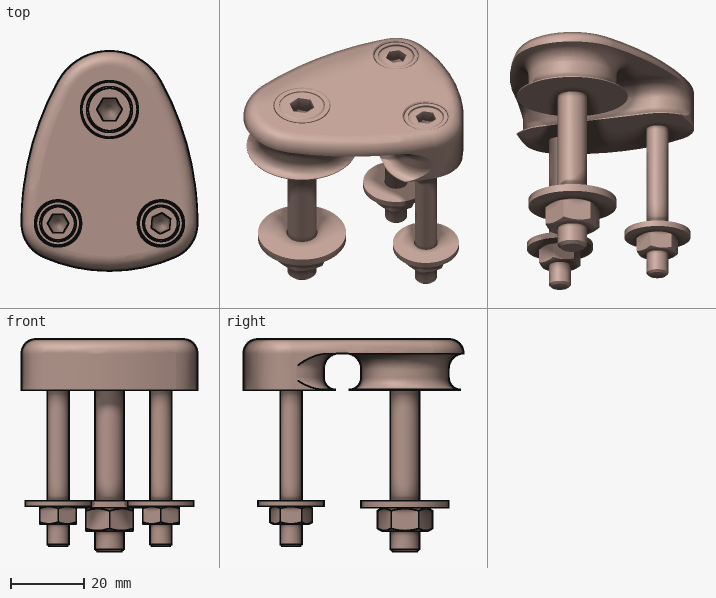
import cadquery as cq
import math

BODY_HEIGHT = 14.0
CAP_HEIGHT = 4.0
NOSE_RADIUS = 16.0
CORNER_RADIUS = 10.0
SMALL_BOLT_X = 14.0
SMALL_BOLT_Y = -31.0
HALF_WIDTH = SMALL_BOLT_X + CORNER_RADIUS
HEEL_DEPTH = 13.0
CUT_MARGIN = 10.0

UPPER_FLARE_RADIUS = 4.0
LOWER_FLARE_RADIUS = 3.1
RIM_HEIGHT = 0.25
POST_RADIUS = 12.0
BLOCK_CORNER_RADIUS = 9.0
BLOCK_CORNER_X = 15.1
RIM_Z = RIM_HEIGHT - BODY_HEIGHT
UPPER_BAND_Z = -CAP_HEIGHT - UPPER_FLARE_RADIUS
LOWER_BAND_Z = RIM_Z + LOWER_FLARE_RADIUS

WASHER_TOP_Z = -44.0
BUSH_GAP_DEPTH = 0.6
CONE_SLOPE = math.tan(math.radians(30))
LARGE_BOLT = dict(
    shank=8.0, tip_z=-58.0, tip_chamfer=0.8,
    washer=24.0, washer_hole=8.4, washer_thickness=2.0,
    nut_flats=13.0, nut_face=12.2, nut_height=6.4,
    hole=15.2, hole_chamfer=0.25, bush=15.0, bush_top_z=0.0,
    head=12.5, head_face=11.5, head_top_z=0.0,
    socket_flats=6.0, socket_depth=4.0,
)
SMALL_BOLT = dict(
    shank=6.0, tip_z=-56.5, tip_chamfer=0.6,
    washer=18.0, washer_hole=6.4, washer_thickness=1.6,
    nut_flats=10.0, nut_face=9.75, nut_height=4.8,
    hole=12.2, hole_chamfer=0.3, bush=11.8, bush_top_z=-0.4,
    head=9.9, head_face=9.0, head_top_z=-0.65,
    socket_flats=5.0, socket_depth=3.0,
)
BOLTS = [
    (LARGE_BOLT, (0, 0), 0),
    (SMALL_BOLT, (-SMALL_BOLT_X, SMALL_BOLT_Y), 0),
    (SMALL_BOLT, (SMALL_BOLT_X, SMALL_BOLT_Y), 85),
]


def polar(center, radius, angle):
    return (center[0] + radius * math.cos(angle), center[1] + radius * math.sin(angle))


def mirrored(point):
    return (-point[0], point[1])


def outline():
    """Egg-shaped outline: nose, two long flanks, two corners and a shallow heel, all tangent."""
    corner = (SMALL_BOLT_X, SMALL_BOLT_Y)
    flank_radius = (HALF_WIDTH**2 + SMALL_BOLT_Y**2 - NOSE_RADIUS**2) / (2 * (HALF_WIDTH - NOSE_RADIUS))
    flank_center = (HALF_WIDTH - flank_radius, SMALL_BOLT_Y)
    flank_angle = math.atan2(-flank_center[1], -flank_center[0])
    heel_radius = (SMALL_BOLT_X**2 + HEEL_DEPTH**2 - CORNER_RADIUS**2) / (2 * (HEEL_DEPTH - CORNER_RADIUS))
    heel_center = (0, SMALL_BOLT_Y - HEEL_DEPTH + heel_radius)
    heel_angle = math.atan2(corner[1] - heel_center[1], corner[0])

    nose_end = polar((0, 0), NOSE_RADIUS, flank_angle)
    flank_middle = polar(flank_center, flank_radius, flank_angle / 2)
    flank_end = (HALF_WIDTH, SMALL_BOLT_Y)
    corner_middle = polar(corner, CORNER_RADIUS, heel_angle / 2)
    corner_end = polar(corner, CORNER_RADIUS, heel_angle)
    return (
        cq.Workplane("XY")
        .moveTo(*mirrored(nose_end))
        .threePointArc((0, NOSE_RADIUS), nose_end)
        .threePointArc(flank_middle, flank_end)
        .threePointArc(corner_middle, corner_end)
        .threePointArc((0, SMALL_BOLT_Y - HEEL_DEPTH), mirrored(corner_end))
        .threePointArc(mirrored(corner_middle), mirrored(flank_end))
        .threePointArc(mirrored(flank_middle), mirrored(nose_end))
        .close()
    )


def groove_wall(plane, wall):
    """Half section of a groove wall: flared to the cap above and to a thin rim below."""
    diagonal = 1 - math.sqrt(0.5)
    return (
        cq.Workplane(plane)
        .moveTo(0, -CAP_HEIGHT)
        .lineTo(wall + UPPER_FLARE_RADIUS, -CAP_HEIGHT)
        .threePointArc(
            (wall + UPPER_FLARE_RADIUS * diagonal, -CAP_HEIGHT - UPPER_FLARE_RADIUS * diagonal),
            (wall, UPPER_BAND_Z),
        )
        .lineTo(wall, LOWER_BAND_Z)
        .threePointArc(
            (wall + LOWER_FLARE_RADIUS * diagonal, RIM_Z + LOWER_FLARE_RADIUS * diagonal),
            (wall + LOWER_FLARE_RADIUS, RIM_Z),
        )
        .lineTo(wall + LOWER_FLARE_RADIUS, -BODY_HEIGHT)
        .lineTo(0, -BODY_HEIGHT)
        .close()
    )


def round_post(wall, x, y):
    return groove_wall("XZ", wall).revolve(360, (0, 0), (0, 1)).translate((x, y, 0))


def heel_block():
    """Block behind the groove, with round front corners and the same flared wall."""
    block = (
        groove_wall("YZ", BLOCK_CORNER_RADIUS)
        .extrude(BLOCK_CORNER_X, both=True)
        .translate((0, SMALL_BOLT_Y, 0))
    )
    for side in (-1, 1):
        block = block.union(round_post(BLOCK_CORNER_RADIUS, side * BLOCK_CORNER_X, SMALL_BOLT_Y))
    rear_width = 2 * (HALF_WIDTH + CUT_MARGIN)
    rear_length = HEEL_DEPTH + CUT_MARGIN
    rear = (
        cq.Workplane("XY")
        .box(rear_width, rear_length, BODY_HEIGHT - CAP_HEIGHT, centered=(True, False, False))
        .translate((0, SMALL_BOLT_Y - rear_length, -BODY_HEIGHT))
    )
    return block.union(rear)


def clamp_body():
    body = outline().extrude(-BODY_HEIGHT).faces(">Z").edges().fillet(CAP_HEIGHT)
    span = 2 * (HEEL_DEPTH - SMALL_BOLT_Y + CUT_MARGIN)
    groove = (
        cq.Workplane("XY")
        .workplane(offset=-BODY_HEIGHT)
        .rect(span, span)
        .extrude(BODY_HEIGHT - CAP_HEIGHT)
        .cut(round_post(POST_RADIUS, 0, 0))
        .cut(heel_block())
    )
    return body.cut(groove)


def cylinder(diameter, z_top, z_bottom):
    return cq.Workplane("XY").workplane(offset=z_top).circle(diameter / 2).extrude(z_bottom - z_top)


def hexagon(flats, z_top, z_bottom):
    """Hexagonal prism with two corners on the X axis."""
    corners = flats / math.cos(math.radians(30))
    return cq.Workplane("XY").workplane(offset=z_top).polygon(6, corners).extrude(z_bottom - z_top)


def nut(bolt, z_top):
    """Hexagon nut with corners on the Y axis and both faces coned off."""
    z_bottom = z_top - bolt["nut_height"]
    face_radius = bolt["nut_face"] / 2
    outer_radius = bolt["nut_flats"]
    cone_height = (outer_radius - face_radius) * CONE_SLOPE
    envelope = (
        cq.Workplane("XZ")
        .polyline([
            (0, z_top),
            (face_radius, z_top),
            (outer_radius, z_top - cone_height),
            (outer_radius, z_bottom + cone_height),
            (face_radius, z_bottom),
            (0, z_bottom),
        ])
        .close()
        .revolve(360, (0, 0), (0, 1))
    )
    prism = hexagon(bolt["nut_flats"], z_top, z_bottom).rotate((0, 0, 0), (0, 0, 1), 90)
    return prism.intersect(envelope)


def bolt_stack(bolt):
    """Shank with washer and nut at its lower end."""
    nut_top_z = WASHER_TOP_Z - bolt["washer_thickness"]
    shank = cylinder(bolt["shank"], -BODY_HEIGHT, bolt["tip_z"]).faces("<Z").chamfer(bolt["tip_chamfer"])
    washer = cylinder(bolt["washer"], WASHER_TOP_Z, nut_top_z)
    washer = washer.cut(cylinder(bolt["washer_hole"], WASHER_TOP_Z, nut_top_z))
    return shank.union(nut(bolt, nut_top_z)).union(washer)


def bolt_hole(bolt):
    """Mouth of the hole for the bush, chamfered at the top face."""
    top_radius = bolt["hole"] / 2 + bolt["hole_chamfer"]
    bottom_z = bolt["bush_top_z"] - BUSH_GAP_DEPTH
    return (
        cq.Workplane("XZ")
        .polyline([
            (0, 0),
            (top_radius, 0),
            (bolt["hole"] / 2, -bolt["hole_chamfer"]),
            (bolt["hole"] / 2, bottom_z),
            (0, bottom_z),
        ])
        .close()
        .revolve(360, (0, 0), (0, 1))
    )


def bush_and_head(bolt):
    """Bush around the coned bolt head, filling the bolt hole up to a narrow gap."""
    bush_top_z = bolt["bush_top_z"]
    head_top_z = bolt["head_top_z"]
    bottom_z = bush_top_z - BUSH_GAP_DEPTH
    head_radius = bolt["head"] / 2
    face_radius = bolt["head_face"] / 2
    bush_radius = bolt["bush"] / 2
    cone_bottom_z = head_top_z - (head_radius - face_radius) * CONE_SLOPE
    return (
        cq.Workplane("XZ")
        .polyline([
            (0, head_top_z),
            (face_radius, head_top_z),
            (head_radius, cone_bottom_z),
            (head_radius, bush_top_z),
            (bush_radius, bush_top_z),
            (bush_radius, bottom_z),
            (0, bottom_z),
        ])
        .close()
        .revolve(360, (0, 0), (0, 1))
    )


def socket(bolt):
    """Hexagon socket ending in a cone."""
    corner_radius = bolt["socket_flats"] / math.sqrt(3)
    top_z = bolt["head_top_z"]
    cone_top_z = top_z - bolt["socket_depth"]
    point_z = cone_top_z - corner_radius * CONE_SLOPE
    drill = (
        cq.Workplane("XZ")
        .polyline([(0, top_z), (corner_radius, top_z), (corner_radius, cone_top_z), (0, point_z)])
        .close()
        .revolve(360, (0, 0), (0, 1))
    )
    return hexagon(bolt["socket_flats"], top_z, point_z).intersect(drill)


def clamp():
    part = clamp_body()
    for bolt, (x, y), socket_angle in BOLTS:
        place = (x, y, 0)
        turned_socket = socket(bolt).rotate((0, 0, 0), (0, 0, 1), socket_angle)
        part = part.union(bolt_stack(bolt).translate(place))
        part = part.cut(bolt_hole(bolt).translate(place))
        part = part.union(bush_and_head(bolt).translate(place))
        part = part.cut(turned_socket.translate(place))
    return part


result = clamp()